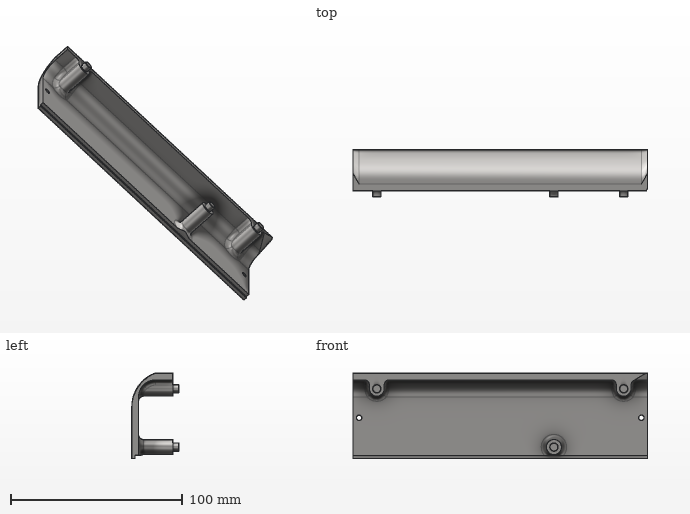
import cadquery as cq
import math

length = 172.0
height = 49.86
wall = 4.0
flange_depth = 23.96
inner_radius = 10.0
lip_depth = 2.0
lip_height = 1.86

mid_radius = 20.0
end_radius = 21.0
end_top_depth = 13.7
end_strip = 3.7

boss_fillet = 3.0
upper_boss_radius = 4.3
upper_boss_inset = 14.0
upper_boss_xs = (upper_boss_inset, length - upper_boss_inset)
upper_boss_z = height - 9.2
lower_boss_radius = 4.4
lower_boss_x = 117.3
lower_boss_z = height - 43.2
pin_radius = 2.45
pin_length = 3.5
pin_chamfer = 0.2

hole_diameter = 3.0
hole_inset = 3.7
hole_z = height - 26.1

taper_length = 9.0
taper_depth = 14.0
taper_base = 4.9
taper_overshoot = 0.5

front_y = -flange_depth
boss_overlap = 1.0


def panel_section(x, bend_radius, top_depth):
    """Wire of the panel cross-section at station x."""
    center_z = height - math.sqrt(bend_radius**2 - (bend_radius - top_depth)**2)
    top_angle = math.acos((bend_radius - top_depth) / bend_radius)
    bend_mid = (
        -bend_radius + bend_radius * math.cos(top_angle / 2),
        center_z + bend_radius * math.sin(top_angle / 2),
    )
    inner_y = -wall - inner_radius
    inner_z = height - wall - inner_radius
    diagonal = inner_radius * math.sqrt(0.5)
    return (
        cq.Workplane("YZ", origin=(x, 0, 0))
        .moveTo(0, 0)
        .lineTo(0, center_z)
        .threePointArc(bend_mid, (-top_depth, height))
        .lineTo(front_y, height)
        .lineTo(front_y, height - wall)
        .lineTo(inner_y, height - wall)
        .threePointArc((inner_y + diagonal, inner_z + diagonal), (-wall, inner_z))
        .lineTo(-wall, lip_height)
        .lineTo(-lip_depth, lip_height)
        .lineTo(-lip_depth, 0)
        .close()
        .wire()
        .val()
    )


def make_panel():
    """Middle stretch of constant section with a swelling strip at each end."""
    sections = [
        panel_section(0, end_radius, end_top_depth),
        panel_section(end_strip, mid_radius, mid_radius),
        panel_section(length - end_strip, mid_radius, mid_radius),
        panel_section(length, end_radius, end_top_depth),
    ]
    return cq.Workplane(cq.Solid.makeLoft(sections, True)).clean()


def front_plane(x, y, z):
    """Sketch plane at (x, y, z) facing -Y."""
    return cq.Workplane("XZ", origin=(x, y, z))


def make_pin(x, z):
    return (
        front_plane(x, front_y, z)
        .circle(pin_radius)
        .extrude(pin_length)
        .faces("<Y")
        .chamfer(pin_chamfer)
    )


def upper_boss(x):
    """U-shaped boss under the flange, following the inside bend of the panel."""
    r = upper_boss_radius
    root_y = -wall + boss_overlap
    top_z = height - wall + boss_overlap
    rise = top_z - upper_boss_z
    outline = (
        front_plane(x, root_y, upper_boss_z)
        .moveTo(-r, rise)
        .lineTo(-r, 0)
        .threePointArc((0, -r), (r, 0))
        .lineTo(r, rise)
        .close()
        .extrude(flange_depth + root_y)
    )
    inside_bend = (
        cq.Workplane("YZ", origin=(x, 0, 0))
        .moveTo(root_y, 0)
        .lineTo(root_y, top_z)
        .lineTo(front_y, top_z)
        .lineTo(front_y, 0)
        .close()
        .extrude(r, both=True)
        .edges("|X and >Z and >Y")
        .fillet(inner_radius + boss_overlap)
    )
    return outline.intersect(inside_bend)


def add_upper_bosses(panel):
    """Join both upper bosses and blend them into the flange and the wall."""
    for x in upper_boss_xs:
        panel = panel.union(upper_boss(x))
    underside_z = height - wall
    margin = 0.1
    between_ends = cq.selectors.BoxSelector(
        (margin, front_y, underside_z - margin),
        (length - margin, -wall, underside_z + margin),
    )
    return panel.edges("|Y").edges(between_ends).fillet(boss_fillet)


def lower_boss():
    """Round boss flared into the wall and trimmed level with the lip step."""
    r = lower_boss_radius
    flare = boss_fillet
    root = wall - boss_overlap
    bend = flare * (1 - math.sqrt(0.5))
    turned = (
        cq.Workplane("XY", origin=(lower_boss_x, 0, lower_boss_z))
        .moveTo(0, -root)
        .lineTo(r + flare, -root)
        .lineTo(r + flare, -wall)
        .threePointArc((r + bend, -wall - bend), (r, -wall - flare))
        .lineTo(r, front_y)
        .lineTo(0, front_y)
        .close()
        .revolve(360, (0, 0, 0), (0, 1, 0))
    )
    above_step = cq.Workplane(origin=(lower_boss_x, front_y / 2, lip_height)).box(
        4 * r, flange_depth, height / 2, centered=(True, True, False)
    )
    return turned.intersect(above_step)


def underside_taper():
    """Corner tetrahedron that thins and clips the flange at its +X front corner."""
    base_z = height - taper_base
    corner = (length, front_y, base_z)
    along_front = (length - taper_length, front_y, base_z)
    along_end = (length, front_y + taper_depth, base_z)
    tip = (length, front_y, height + taper_overshoot)
    triangles = [
        (corner, along_front, along_end),
        (corner, along_front, tip),
        (corner, along_end, tip),
        (along_front, along_end, tip),
    ]
    faces = []
    for triangle in triangles:
        outline = cq.Wire.makePolygon([cq.Vector(*point) for point in triangle], close=True)
        faces.append(cq.Face.makeFromWires(outline))
    return cq.Workplane(cq.Solid.makeSolid(cq.Shell.makeShell(faces)))


def wall_hole(x):
    return front_plane(x, 0, hole_z).circle(hole_diameter / 2).extrude(wall)


result = add_upper_bosses(make_panel())
result = result.union(lower_boss())
for pin_x in upper_boss_xs:
    result = result.union(make_pin(pin_x, upper_boss_z))
result = result.union(make_pin(lower_boss_x, lower_boss_z))
for hole_x in (hole_inset, length - hole_inset):
    result = result.cut(wall_hole(hole_x))
result = result.cut(underside_taper())